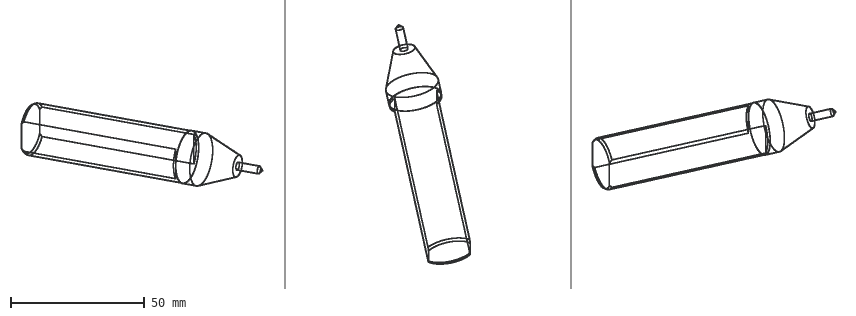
import cadquery as cq

flat_length = 64.0
shank_length = 65.0
collar_length = 5.8
cone_length = 15.1
overall_length = 96.26

shank_diameter = 19.98
collar_diameter = 20.2
cone_tip_diameter = 8.4
pin_diameter = 3.0

bevel_length = 1.0
bevel_depth = 0.58

width_across_flats = 16.0

shank_radius = shank_diameter / 2
collar_radius = collar_diameter / 2
pin_radius = pin_diameter / 2
collar_end = shank_length + collar_length
cone_end = collar_end + cone_length
point_length = pin_radius
pin_end = overall_length - point_length


def turned_body():
    """Revolve the half profile about X: shank, collar, cone, pin and point."""
    return (
        cq.Workplane("XZ")
        .moveTo(0, 0)
        .lineTo(0, shank_radius - bevel_depth)
        .lineTo(bevel_length, shank_radius)
        .lineTo(shank_length, shank_radius)
        .lineTo(shank_length, collar_radius)
        .lineTo(collar_end, collar_radius)
        .lineTo(cone_end, cone_tip_diameter / 2)
        .lineTo(cone_end, pin_radius)
        .lineTo(pin_end, pin_radius)
        .lineTo(overall_length, 0)
        .close()
        .revolve(360, (0, 0, 0), (1, 0, 0))
    )


def flat_cutter(side):
    """Block removing one flat; side is +1 for the +Y flat, -1 for the -Y flat."""
    center_y = side * (width_across_flats + collar_diameter) / 2
    return (
        cq.Workplane("XY")
        .box(flat_length, collar_diameter, collar_diameter, centered=(False, True, True))
        .translate((0, center_y, 0))
    )


result = turned_body()
for flat_side in (-1, 1):
    result = result.cut(flat_cutter(flat_side))